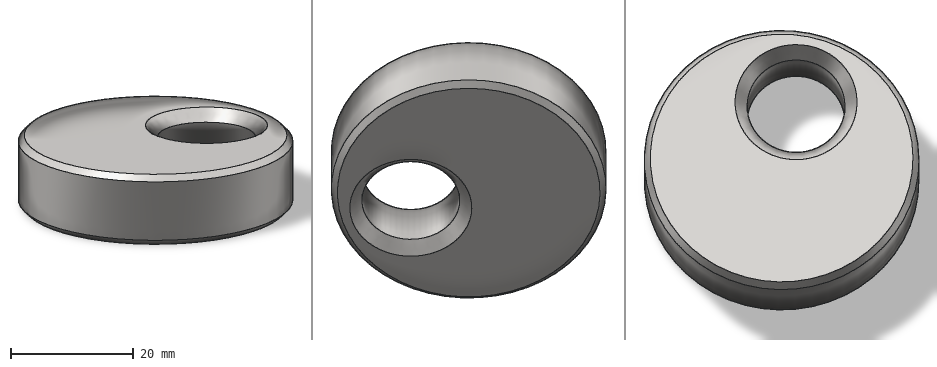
import cadquery as cq

disc_diameter = 45.0
disc_thickness = 12.0
rim_chamfer = 1.0
hole_diameter = 16.0
hole_offset = 10.0
hole_chamfer = 2.0


def make_disc():
    """Round disc with both rims chamfered."""
    disc = cq.Workplane("XY").circle(disc_diameter / 2).extrude(disc_thickness)
    return disc.edges("%CIRCLE").chamfer(rim_chamfer)


def make_hole_cutter():
    """Through hole that flares at both mouths, revolved about the hole axis."""
    hole_radius = hole_diameter / 2
    mouth_radius = hole_radius + hole_chamfer
    profile = (
        cq.Workplane("XZ")
        .moveTo(0, 0)
        .lineTo(mouth_radius, 0)
        .lineTo(hole_radius, hole_chamfer)
        .lineTo(hole_radius, disc_thickness - hole_chamfer)
        .lineTo(mouth_radius, disc_thickness)
        .lineTo(0, disc_thickness)
        .close()
    )
    cutter = profile.revolve(360, (0, 0, 0), (0, 1, 0))
    return cutter.translate((0, hole_offset, 0))


result = make_disc().cut(make_hole_cutter())